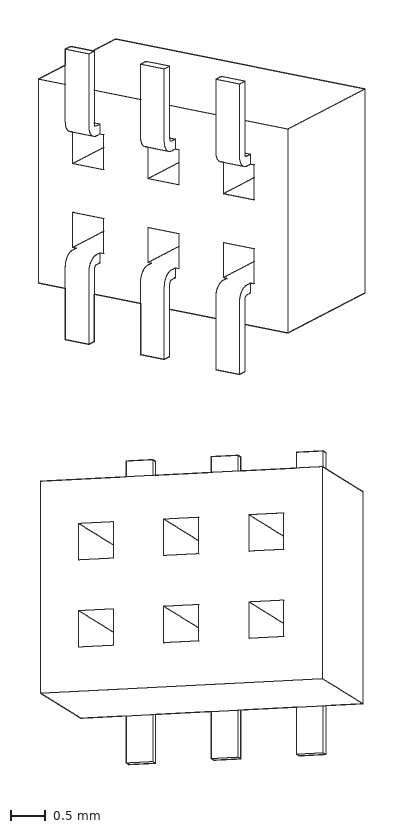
import cadquery as cq

housing_length = 4.21
housing_depth = 2.1
housing_height = 3.09

pitch = 1.27
column_count = 3
first_column_margin = 0.84
opening_width = 0.52
opening_height = 0.53

lead_width = 0.4
lead_thickness = 0.15
lead_standoff = 0.3
lead_span = 4.4
bend_inner_radius = 0.05
bend_outer_radius = bend_inner_radius + lead_thickness

row_z = pitch / 2
column_x = [-housing_length / 2 + first_column_margin + i * pitch for i in range(column_count)]


def make_housing():
    """Block with a rectangular opening through its depth at every contact."""
    block = cq.Workplane("XY").box(
        housing_length, housing_depth, housing_height, centered=(True, False, True)
    )
    contact_points = [(x, z) for x in column_x for z in (-row_z, row_z)]
    openings = (
        cq.Workplane("XZ")
        .pushPoints(contact_points)
        .rect(opening_width, opening_height)
        .extrude(-housing_depth)
    )
    return block.cut(openings)


def make_upper_lead(x):
    """L-shaped lead that leaves the outer edge of an opening and bends upward."""
    foot_bottom = row_z + opening_height / 2
    foot_top = foot_bottom + lead_thickness
    tip_z = lead_span / 2
    outer_y = -lead_standoff
    inner_y = outer_y + lead_thickness
    bend_y = outer_y + bend_outer_radius
    bend_z = foot_bottom + bend_outer_radius
    profile = (
        cq.Workplane("YZ", origin=(x, 0, 0))
        .moveTo(0, foot_bottom)
        .lineTo(bend_y, foot_bottom)
        .radiusArc((outer_y, bend_z), bend_outer_radius)
        .lineTo(outer_y, tip_z)
        .lineTo(inner_y, tip_z)
        .lineTo(inner_y, bend_z)
        .radiusArc((bend_y, foot_top), -bend_inner_radius)
        .lineTo(0, foot_top)
        .close()
    )
    return profile.extrude(lead_width / 2, both=True)


result = make_housing()
for x in column_x:
    upper_lead = make_upper_lead(x)
    lower_lead = upper_lead.mirror("XY")
    result = result.union(upper_lead).union(lower_lead)

result = result.translate((0, (lead_standoff - housing_depth) / 2, 0))